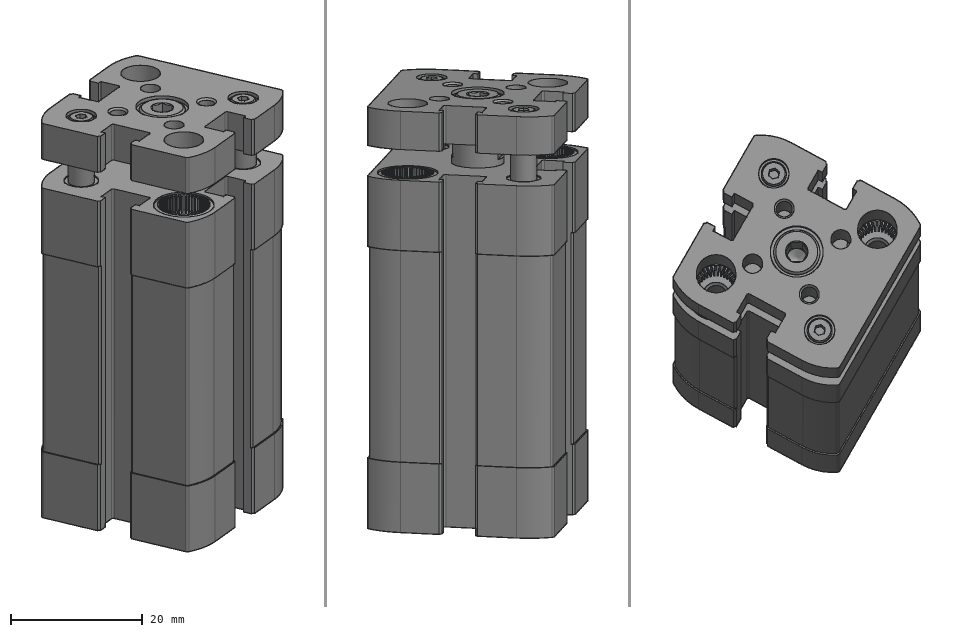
import cadquery as cq
import math

TOTAL_HEIGHT = 65.7
PLATE_THICKNESS = 6.0
BODY_TOP = 54.9
CAP_HEIGHT = 11.0

HALF_WIDTH = 14.49
BARREL_INSET = 0.23
SIDE_FLAT_HALF = 9.0
SIDE_ARC_RADIUS = 9.5
CORNER_FILLET = 0.6

SLOT_MOUTH_HALF = 2.6
SLOT_HALF = 3.35
SLOT_LIP = 1.8
SLOT_DEPTH = 5.2
SLOT_MOUTH_FILLET = 0.3
SLOT_FLOOR_FILLET = 0.3
SLOT_ANGLES = (-90, 0, 90)

ROD_DIAMETER = 8.0
ROD_FLATS = 7.0
ROD_FLAT_BOTTOM = BODY_TOP + 1.0
ROD_END_DIAMETER = 7.0
ROD_END_CHAMFER = 0.3
ROD_END_DROP = 0.1
ROD_GROOVE_DEPTH = 0.6
ROD_HEX_FLATS = 3.0
ROD_HEX_DEPTH = 3.95
ROD_HEX_CHAMFER_DIAMETER = 3.4
ROD_DRILL_TIP = 0.9

CORNER_PITCH_HALF = 9.0
GUIDE_DIAMETER = 4.0
GUIDE_RECESS_DIAMETER = 4.6
GUIDE_END_DIAMETER = 3.8
GUIDE_END_CHAMFER = 0.2
GUIDE_HEX_FLATS = 1.5
GUIDE_HEX_DEPTH = 1.3
GUIDE_HEX_TURN = 15
GUIDE_BUSH_DIAMETER = 5.25
GUIDE_BUSH_DEPTH = 0.2
ROD_INSERTION = CAP_HEIGHT

ACCESS_DIAMETER = 6.0
SMALL_HOLE_PITCH_HALF = 4.9
PIN_HOLE_DIAMETER = 3.0
THREAD_DIAMETER = 2.4

SCREW_RIM_DIAMETER = 9.2
SCREW_HEAD_DIAMETER = 8.0
SCREW_BEVEL_HEIGHT = 0.25
SCREW_SOCKET_DIAMETER = 6.0
SCREW_SOCKET_DEPTH = 2.6
SPLINE_DIAMETER = 7.6
SPLINE_COUNT = 36
SPLINE_WIDTH = 0.3
SPLINE_OVERLAP = 0.1
SCREW_BORE = 3.2
SCREW_BORE_CHAMFER_DIAMETER = 4.0

PLATE_BOTTOM = TOTAL_HEIGHT - PLATE_THICKNESS
SCREW_POINTS = [(-CORNER_PITCH_HALF, CORNER_PITCH_HALF), (CORNER_PITCH_HALF, -CORNER_PITCH_HALF)]
GUIDE_POINTS = [(-CORNER_PITCH_HALF, -CORNER_PITCH_HALF), (CORNER_PITCH_HALF, CORNER_PITCH_HALF)]
PIN_POINTS = [(-SMALL_HOLE_PITCH_HALF, SMALL_HOLE_PITCH_HALF), (SMALL_HOLE_PITCH_HALF, -SMALL_HOLE_PITCH_HALF)]
THREAD_POINTS = [(-SMALL_HOLE_PITCH_HALF, -SMALL_HOLE_PITCH_HALF), (SMALL_HOLE_PITCH_HALF, SMALL_HOLE_PITCH_HALF)]


def cylinder(diameter, bottom, top, points=((0, 0),)):
    """Upright cylinders of one diameter between two heights."""
    return cq.Workplane("XY", origin=(0, 0, bottom)).pushPoints(points).circle(diameter / 2).extrude(top - bottom)


def cone(bottom_diameter, top_diameter, bottom, top, points=((0, 0),)):
    """Upright cone stumps between two heights."""
    stump = cq.Solid.makeCone(bottom_diameter / 2, top_diameter / 2, top - bottom)
    stump = stump.moved(cq.Location(cq.Vector(0, 0, bottom)))
    return cq.Workplane("XY").pushPoints(points).eachpoint(lambda place: stump.moved(place))


def countersink(top_diameter, bottom_diameter, top, points=((0, 0),)):
    """45 degree conical cutters that open upwards to top_diameter at height top."""
    bottom = top - (top_diameter - bottom_diameter) / 2
    return cone(bottom_diameter, top_diameter, bottom, top, points)


def slot_cutter(face, bottom, top):
    """T-slot for the front side, with a rounded mouth at distance face from the axis."""
    lip_inner = HALF_WIDTH - SLOT_LIP
    floor = HALF_WIDTH - SLOT_DEPTH
    round_end = face - SLOT_MOUTH_FILLET
    mouth_edge = SLOT_MOUTH_HALF + SLOT_MOUTH_FILLET
    cutter = (
        cq.Workplane("XY", origin=(0, 0, bottom))
        .moveTo(-mouth_edge, -face)
        .radiusArc((-SLOT_MOUTH_HALF, -round_end), SLOT_MOUTH_FILLET)
        .lineTo(-SLOT_MOUTH_HALF, -lip_inner)
        .lineTo(-SLOT_HALF, -lip_inner)
        .lineTo(-SLOT_HALF, -floor)
        .lineTo(SLOT_HALF, -floor)
        .lineTo(SLOT_HALF, -lip_inner)
        .lineTo(SLOT_MOUTH_HALF, -lip_inner)
        .lineTo(SLOT_MOUTH_HALF, -round_end)
        .radiusArc((mouth_edge, -face), SLOT_MOUTH_FILLET)
        .close()
        .extrude(top - bottom)
    )
    return cutter.faces(">Y").edges("|Z").fillet(SLOT_FLOOR_FILLET)


def profile_block(half, bottom, top):
    """Slotted block with rounded sides, half wide from the axis to each side."""
    radius = SIDE_ARC_RADIUS - (HALF_WIDTH - half)
    arc_centre = half - radius
    sweep = math.asin((half - SIDE_FLAT_HALF) / radius)
    end_x = arc_centre + radius * math.cos(sweep)
    mid_x = arc_centre + radius * math.cos(sweep / 2)
    mid_y = SIDE_FLAT_HALF + radius * math.sin(sweep / 2)
    block = (
        cq.Workplane("XY", origin=(0, 0, bottom))
        .moveTo(-end_x, -half)
        .lineTo(end_x, -half)
        .threePointArc((mid_x, -mid_y), (half, -SIDE_FLAT_HALF))
        .lineTo(half, SIDE_FLAT_HALF)
        .threePointArc((mid_x, mid_y), (end_x, half))
        .lineTo(-end_x, half)
        .threePointArc((-mid_x, mid_y), (-half, SIDE_FLAT_HALF))
        .lineTo(-half, -SIDE_FLAT_HALF)
        .threePointArc((-mid_x, -mid_y), (-end_x, -half))
        .close()
        .extrude(top - bottom)
    )
    block = block.faces("<Y or >Y").edges("|Z").fillet(CORNER_FILLET)
    for angle in SLOT_ANGLES:
        block = block.cut(slot_cutter(half, bottom, top).rotate((0, 0, 0), (0, 0, 1), angle))
    return block


def cut_screw_seats(housing):
    """Hollow screw heads with a splined socket in two corners, bored through the whole housing."""
    groove_floor = BODY_TOP - SCREW_BEVEL_HEIGHT
    socket_floor = BODY_TOP - SCREW_SOCKET_DEPTH
    bevel = cone(SCREW_RIM_DIAMETER, SCREW_HEAD_DIAMETER, groove_floor, BODY_TOP, SCREW_POINTS)
    groove = cylinder(SCREW_RIM_DIAMETER, groove_floor, BODY_TOP, SCREW_POINTS).cut(bevel)
    housing = housing.cut(groove)
    housing = housing.cut(cylinder(SCREW_SOCKET_DIAMETER, socket_floor, BODY_TOP, SCREW_POINTS))
    housing = housing.cut(countersink(SCREW_BORE_CHAMFER_DIAMETER, SCREW_BORE, socket_floor, SCREW_POINTS))
    housing = housing.cut(cylinder(SCREW_BORE, 0, socket_floor, SCREW_POINTS))
    groove_inner = SCREW_SOCKET_DIAMETER / 2 - SPLINE_OVERLAP
    groove_length = SPLINE_DIAMETER / 2 - groove_inner
    for x, y in SCREW_POINTS:
        spline_grooves = (
            cq.Workplane("XY", origin=(x, y, socket_floor))
            .polarArray(groove_inner + groove_length / 2, 0, 360, SPLINE_COUNT)
            .rect(groove_length, SPLINE_WIDTH)
            .extrude(SCREW_SOCKET_DEPTH)
        )
        housing = housing.cut(spline_grooves)
    return housing


def make_housing():
    """Barrel between two end caps, with holes for the three rods."""
    barrel_bottom = CAP_HEIGHT
    barrel_top = BODY_TOP - CAP_HEIGHT
    housing = profile_block(HALF_WIDTH, 0, barrel_bottom)
    housing = housing.union(profile_block(HALF_WIDTH - BARREL_INSET, barrel_bottom, barrel_top))
    housing = housing.union(profile_block(HALF_WIDTH, barrel_top, BODY_TOP))
    rod_bottom = BODY_TOP - ROD_INSERTION
    housing = housing.cut(cylinder(ROD_DIAMETER, rod_bottom, BODY_TOP))
    housing = housing.cut(cylinder(GUIDE_DIAMETER, rod_bottom, BODY_TOP, GUIDE_POINTS))
    housing = housing.cut(cylinder(GUIDE_BUSH_DIAMETER, BODY_TOP - GUIDE_BUSH_DEPTH, BODY_TOP, GUIDE_POINTS))
    return cut_screw_seats(housing)


def hexagon(flats, bottom, top, points=((0, 0),), turn=0):
    """Upright hexagonal prisms, measured across the flats."""
    corner_diameter = flats / math.cos(math.pi / 6)
    prism = cq.Workplane("XY").polygon(6, corner_diameter).extrude(top - bottom)
    solid = prism.rotate((0, 0, 0), (0, 0, 1), turn).translate((0, 0, bottom)).val()
    return cq.Workplane("XY").pushPoints(points).eachpoint(lambda place: solid.moved(place))


def rod_end(yoke, recess_diameter, end_diameter, chamfer, points):
    """Sink a ring around each rod end and leave the chamfered end just below the plate top."""
    end_top = TOTAL_HEIGHT - ROD_END_DROP
    groove_floor = TOTAL_HEIGHT - ROD_GROOVE_DEPTH
    yoke = yoke.cut(cylinder(recess_diameter, groove_floor, TOTAL_HEIGHT, points))
    end = cylinder(end_diameter, groove_floor, end_top, points).faces(">Z").edges().chamfer(chamfer)
    return yoke.union(end)


def make_yoke():
    """Plate with the piston rod and two guide rods."""
    rod_bottom = BODY_TOP - ROD_INSERTION
    yoke = profile_block(HALF_WIDTH, PLATE_BOTTOM, TOTAL_HEIGHT)

    flats = (
        cq.Workplane("XY", origin=(0, 0, ROD_FLAT_BOTTOM))
        .rect(ROD_DIAMETER, ROD_FLATS)
        .extrude(PLATE_BOTTOM - ROD_FLAT_BOTTOM)
    )
    neck = cylinder(ROD_DIAMETER, ROD_FLAT_BOTTOM, PLATE_BOTTOM).intersect(flats)
    yoke = yoke.union(neck).union(cylinder(ROD_DIAMETER, rod_bottom, ROD_FLAT_BOTTOM))
    yoke = yoke.union(cylinder(GUIDE_DIAMETER, rod_bottom, PLATE_BOTTOM, GUIDE_POINTS))

    yoke = rod_end(yoke, ROD_DIAMETER, ROD_END_DIAMETER, ROD_END_CHAMFER, [(0, 0)])
    yoke = rod_end(yoke, GUIDE_RECESS_DIAMETER, GUIDE_END_DIAMETER, GUIDE_END_CHAMFER, GUIDE_POINTS)

    end_top = TOTAL_HEIGHT - ROD_END_DROP
    hex_floor = end_top - ROD_HEX_DEPTH
    drill_tip = cone(0, ROD_HEX_FLATS, hex_floor - ROD_DRILL_TIP, hex_floor)
    yoke = yoke.cut(hexagon(ROD_HEX_FLATS, hex_floor, end_top)).cut(drill_tip)
    yoke = yoke.cut(countersink(ROD_HEX_CHAMFER_DIAMETER, ROD_HEX_FLATS, end_top))
    yoke = yoke.cut(hexagon(GUIDE_HEX_FLATS, end_top - GUIDE_HEX_DEPTH, end_top, GUIDE_POINTS, GUIDE_HEX_TURN))

    yoke = yoke.cut(cylinder(ACCESS_DIAMETER, PLATE_BOTTOM, TOTAL_HEIGHT, SCREW_POINTS))
    yoke = yoke.cut(cylinder(PIN_HOLE_DIAMETER, PLATE_BOTTOM, TOTAL_HEIGHT, PIN_POINTS))
    yoke = yoke.cut(cylinder(THREAD_DIAMETER, PLATE_BOTTOM, TOTAL_HEIGHT, THREAD_POINTS))
    return yoke.cut(countersink(PIN_HOLE_DIAMETER, THREAD_DIAMETER, TOTAL_HEIGHT, THREAD_POINTS))


housing = make_housing()
yoke = make_yoke()
result = cq.Compound.makeCompound([housing.val(), yoke.val()])